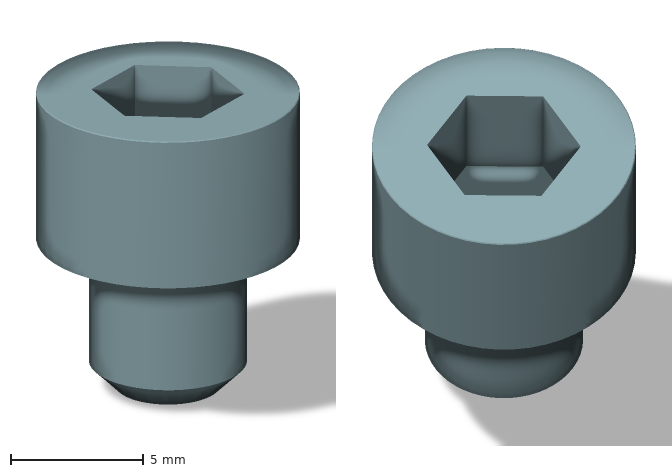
import cadquery as cq
import math

total_length = 12.0
head_diameter = 10.0
head_height = total_length / 2
shank_diameter = 6.0
shank_length = total_length - head_height

head_edge_chamfer = 0.04
tip_chamfer = 1.0

socket_across_flats = 5.04
socket_across_corners = socket_across_flats / math.cos(math.pi / 6)
socket_depth = head_height * 2 / 3


def make_shank():
    """Plain cylindrical shank, standing on Z = 0, with a conical tip."""
    shank = cq.Workplane("XY").circle(shank_diameter / 2).extrude(shank_length)
    return shank.faces("<Z").chamfer(tip_chamfer)


def make_head():
    """Cylindrical head with a slightly broken top edge."""
    head = cq.Workplane("XY").workplane(offset=shank_length)
    head = head.circle(head_diameter / 2).extrude(head_height)
    return head.faces(">Z").chamfer(head_edge_chamfer)


def make_socket():
    """Hexagonal prism with two corners on the X axis, sunk from the top."""
    socket = cq.Workplane("XY").workplane(offset=total_length)
    return socket.polygon(6, socket_across_corners).extrude(-socket_depth)


result = make_shank().union(make_head()).cut(make_socket())